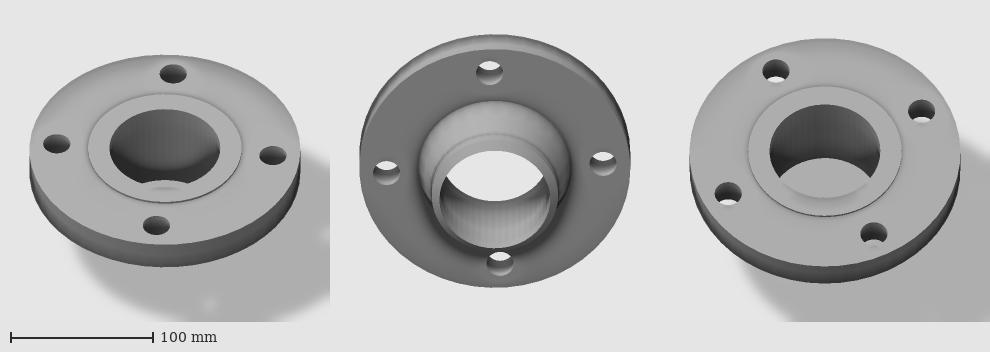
import cadquery as cq


flange_diameter = 190.5
flange_thickness = 22.3
overall_height = 69.91

face_diameter = 108.0
face_height = 1.6

bore_diameter = 77.9
bolt_hole_diameter = 19.1
bolt_circle_diameter = 152.4
bolt_count = 4

hub_diameter = 108.0
pipe_diameter = 88.9
bevel_height = 5.5
pipe_end_height = 15.1

flange_top = overall_height - face_height
flange_bottom = flange_top - flange_thickness


def make_body():
    """Revolve the half section of the disc, raised face and neck, bore included."""
    bore_radius = bore_diameter / 2
    pipe_radius = pipe_diameter / 2
    half_section = (
        cq.Workplane("XZ")
        .moveTo(bore_radius, 0)
        .lineTo(pipe_radius, bevel_height)
        .lineTo(pipe_radius, pipe_end_height)
        .lineTo(hub_diameter / 2, flange_bottom)
        .lineTo(flange_diameter / 2, flange_bottom)
        .lineTo(flange_diameter / 2, flange_top)
        .lineTo(face_diameter / 2, flange_top)
        .lineTo(face_diameter / 2, overall_height)
        .lineTo(bore_radius, overall_height)
        .close()
    )
    return half_section.revolve(360, (0, 0, 0), (0, 1, 0))


def make_bolt_holes():
    """Cylinders through the disc, straddling the X and Y axes."""
    first_angle = 180 / bolt_count
    return (
        cq.Workplane("XY")
        .workplane(offset=flange_bottom)
        .polarArray(bolt_circle_diameter / 2, first_angle, 360, bolt_count)
        .circle(bolt_hole_diameter / 2)
        .extrude(flange_thickness)
    )


result = make_body().cut(make_bolt_holes())